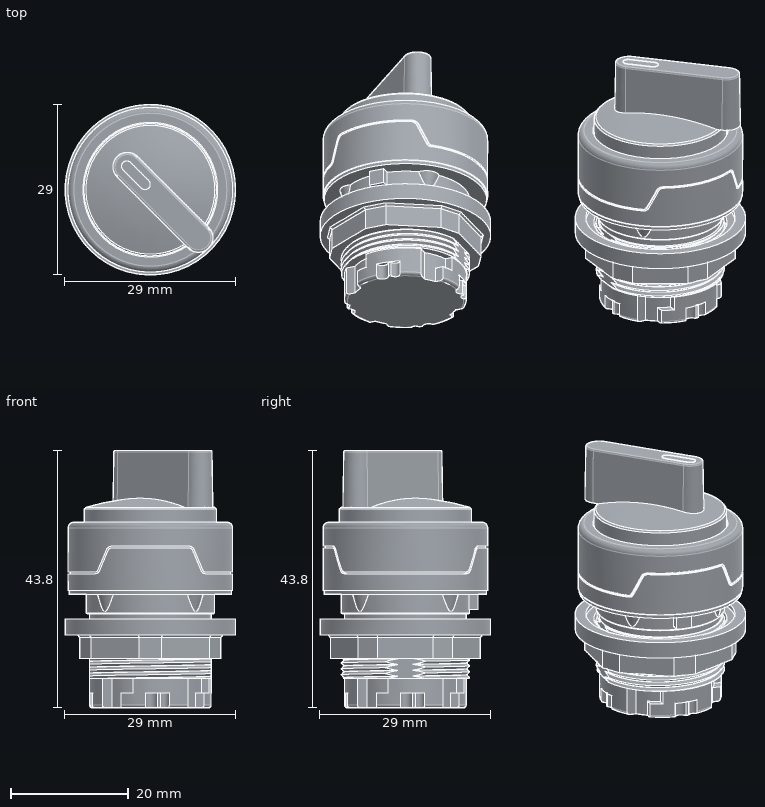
import cadquery as cq
import math

TOTAL_HEIGHT = 43.75
LUG_HEIGHT = 2.57
THREAD_BOTTOM = 5.04
NUT_BOTTOM = 8.4
RING_BOTTOM = 12.36
THREAD_TOP = 14.7
RING_TOP = 15.15
COLLAR_BOTTOM = 15.95
STEP_BOTTOM = 19.3
HOUSING_BOTTOM = 19.95
HOUSING_TOP = 31.58
CAP_TOP = 34.1
DOME_TOP = 35.72

BODY_DIAMETER = 20.75
BODY_RADIUS = BODY_DIAMETER / 2
BODY_FILLET = 0.5
QUARTERS = 4

SLOT_FLOOR_RADIUS = 9.15
SLOT_WALL_OFFSET = 6.4
ENTRY_END_X = -4.95
LOCK_END_X = -2.96

WIDE_GROOVE_X = 0.18
WIDE_GROOVE_RADIUS = 1.04
NARROW_GROOVE_X = 2.47
NARROW_GROOVE_RADIUS = 0.78
GROOVE_RIDGE_DEPTH = 0.3

THREAD_MAJOR_RADIUS = 21.85 / 2
THREAD_MINOR_RADIUS = 20.92 / 2
THREAD_PITCH = 1.0
THREAD_EMBED = 0.1
THREAD_ROOT_GAP = 0.02
THREAD_CREST_Z = 4.9

RING_DIAMETER = 29.0
HEX_FLATS = 24.0
HEX_CORNERS = 25.5
HEX_FLARE_HEIGHT = 0.4
HEX_FLARE = 0.35
NUT_RECESS_DIAMETER = 25.35
NUT_RECESS_DEPTH = 0.8
NUT_BORE_DIAMETER = 22.6
NUT_BORE_DEPTH = 2.2

COLLAR_DIAMETER = 21.85
COLLAR_CHAMFER = 0.2
RIB_TIP_Z = 16.4
RIB_TIP_RADIUS = 1.3
RIB_TOP_RADIUS = 2.19
KEY_WIDTH = 2.64
KEY_REACH = 12.36
KEY_BOTTOM = 16.7

STEP_DIAMETER = 27.65
HOUSING_DIAMETER = 28.0
HOUSING_FILLET = 1.0
SEAM_FLOOR_DIAMETER = 27.29
SEAM_WIDTH = 0.3
SEAM_HIGH_Z = 27.21
SEAM_LOW_Z = 22.8
SEAM_HIGH_HALF_WIDTH = 7.0
SEAM_LOW_HALF_WIDTH = 8.85
SEAM_CORNER_RADIUS = 0.8
CAP_GAP_DIAMETER = 22.9
CAP_GAP_DEPTH = 1.0

CAP_DIAMETER = 22.5
CAP_CHAMFER = 0.3
HANDLE_ANGLE = -45
HANDLE_TIP_START = -5.5
HANDLE_TIP_END = 11.55
HANDLE_TOP_RADIUS = 2.33
HANDLE_DRAFT = 0.9
HANDLE_FILLET = 0.25
MARK_START = -6.55
MARK_END = -0.4
MARK_WIDTH = 1.8
MARK_DEPTH = 0.1


def disk(diameter, bottom, top):
    """Cylinder on the switch axis between two heights."""
    return cq.Workplane("XY").workplane(offset=bottom).circle(diameter / 2).extrude(top - bottom)


def ring(outer_diameter, inner_diameter, bottom, top):
    """Tube on the switch axis between two heights."""
    return disk(outer_diameter, bottom, top).cut(disk(inner_diameter, bottom, top))


def box(x_range, y_range, z_range):
    """Box given by its limits on each axis."""
    size = [high - low for low, high in (x_range, y_range, z_range)]
    corner = (x_range[0], y_range[0], z_range[0])
    return cq.Workplane("XY").box(*size, centered=False).translate(corner)


def turned(shape, angle):
    """Copy of a shape rotated about the switch axis."""
    return shape.rotate((0, 0, 0), (0, 0, 1), angle)


def cut_in_quarters(base, cutter):
    """Cut four equally spaced copies of a cutter from a base shape."""
    for index in range(QUARTERS):
        base = base.cut(turned(cutter, index * 360 / QUARTERS))
    return base


def bayonet_slot():
    """L-shaped slot: an entry open at the bottom and a wider lock above it."""
    radial_span = (-RING_DIAMETER / 2, -SLOT_WALL_OFFSET)
    entry = box((-RING_DIAMETER / 2, ENTRY_END_X), radial_span, (0, THREAD_BOTTOM))
    lock = box((ENTRY_END_X, LOCK_END_X), radial_span, (LUG_HEIGHT, THREAD_BOTTOM))
    return entry.union(lock).cut(disk(2 * SLOT_FLOOR_RADIUS, 0, THREAD_BOTTOM))


def coding_groove():
    """Two round grooves side by side, with a lowered ridge between them."""
    cutter = box(
        (WIDE_GROOVE_X, NARROW_GROOVE_X),
        (-BODY_RADIUS, GROOVE_RIDGE_DEPTH - BODY_RADIUS),
        (0, LUG_HEIGHT),
    )
    for x, radius in (
        (WIDE_GROOVE_X, WIDE_GROOVE_RADIUS),
        (NARROW_GROOVE_X, NARROW_GROOVE_RADIUS),
    ):
        surface_y = -math.sqrt(BODY_RADIUS**2 - x**2)
        cutter = cutter.union(disk(2 * radius, 0, LUG_HEIGHT).translate((x, surface_y, 0)))
    return cutter


def make_foot():
    foot = disk(BODY_DIAMETER, 0, THREAD_BOTTOM).faces("<Z").edges().fillet(BODY_FILLET)
    foot = cut_in_quarters(foot, bayonet_slot())
    return cut_in_quarters(foot, coding_groove())


def thread_turn():
    """One turn of the right-hand V ridge, its two ends lying on the +X flat."""
    base_radius = THREAD_MINOR_RADIUS - THREAD_EMBED
    half_base = THREAD_PITCH / 2 - THREAD_ROOT_GAP
    helix = cq.Wire.makeHelix(THREAD_PITCH, THREAD_PITCH, THREAD_MINOR_RADIUS)
    return (
        cq.Workplane("XZ")
        .moveTo(base_radius, -half_base)
        .lineTo(THREAD_MINOR_RADIUS, -half_base)
        .lineTo(THREAD_MAJOR_RADIUS, 0)
        .lineTo(THREAD_MINOR_RADIUS, half_base)
        .lineTo(base_radius, half_base)
        .close()
        .sweep(cq.Workplane(obj=helix), isFrenet=True)
    )


def flatten(shape, bottom, top):
    """Trim a shape to two heights and to the flats on the X sides."""
    half_length = RING_DIAMETER / 2
    flats = box((-BODY_RADIUS, BODY_RADIUS), (-half_length, half_length), (bottom, top))
    return shape.intersect(flats)


def threaded_length(bottom, top):
    """Flattened thread between two heights."""
    thread = flatten(disk(2 * THREAD_MINOR_RADIUS, bottom, top), bottom, top)
    turn = flatten(thread_turn(), -THREAD_PITCH, 2 * THREAD_PITCH)
    half_base = THREAD_PITCH / 2 - THREAD_ROOT_GAP
    first = math.ceil((bottom - half_base - THREAD_CREST_Z) / THREAD_PITCH - 1)
    last = math.floor((top + half_base - THREAD_CREST_Z) / THREAD_PITCH)
    for index in range(first, last + 1):
        crest_z = THREAD_CREST_Z + index * THREAD_PITCH
        thread = thread.union(flatten(turn.translate((0, 0, crest_z)), bottom, top))
    return thread


def make_thread():
    """Thread exposed below the nut and in the nut bore; the nut is solid in between."""
    bore_floor = RING_TOP - NUT_BORE_DEPTH
    lower = threaded_length(THREAD_BOTTOM, NUT_BOTTOM)
    return lower.union(threaded_length(bore_floor, THREAD_TOP))


def hex_prism(flats, corners, bottom, height, taper=0):
    """Hexagon with flats on the X sides and its six corners cut flat."""
    points = []
    cut_half = (flats / math.cos(math.pi / 6) - corners) / 2 * math.tan(math.pi / 3)
    for index in range(6):
        corner_angle = math.pi / 2 + index * math.pi / 3
        for side in (-cut_half, cut_half):
            angle = corner_angle + math.atan2(side, corners / 2)
            radius = math.hypot(side, corners / 2)
            points.append((radius * math.cos(angle), radius * math.sin(angle)))
    plane = cq.Workplane("XY").workplane(offset=bottom)
    return plane.polyline(points).close().extrude(height, taper=taper)


def make_nut():
    flare_bottom = RING_BOTTOM - HEX_FLARE_HEIGHT
    flare_angle = math.degrees(math.atan2(HEX_FLARE, HEX_FLARE_HEIGHT))
    nut = hex_prism(HEX_FLATS, HEX_CORNERS, NUT_BOTTOM, flare_bottom - NUT_BOTTOM)
    flare = hex_prism(HEX_FLATS, HEX_CORNERS, flare_bottom, HEX_FLARE_HEIGHT, -flare_angle)
    nut = nut.union(flare).union(disk(RING_DIAMETER, RING_BOTTOM, RING_TOP))
    nut = nut.cut(disk(NUT_RECESS_DIAMETER, RING_TOP - NUT_RECESS_DEPTH, RING_TOP))
    return nut.cut(disk(NUT_BORE_DIAMETER, RING_TOP - NUT_BORE_DEPTH, RING_TOP))


def make_collar():
    """Collar with four conical ribs at the diagonals and a locating key at +Y."""
    collar = disk(COLLAR_DIAMETER, COLLAR_BOTTOM, STEP_BOTTOM)
    collar = collar.faces("<Z").edges().chamfer(COLLAR_CHAMFER)
    rib_axis_radius = COLLAR_DIAMETER / 2 - RIB_TIP_RADIUS
    rib = cq.Workplane(
        obj=cq.Solid.makeCone(
            RIB_TIP_RADIUS,
            RIB_TOP_RADIUS,
            STEP_BOTTOM - RIB_TIP_Z,
            pnt=cq.Vector(rib_axis_radius, 0, RIB_TIP_Z),
        )
    )
    for index in range(QUARTERS):
        collar = collar.union(turned(rib, 45 + index * 360 / QUARTERS))
    key = box((-KEY_WIDTH / 2, KEY_WIDTH / 2), (0, KEY_REACH), (KEY_BOTTOM, STEP_BOTTOM))
    return collar.union(key)


def seam_groove():
    """Wavy groove around the housing: raised on the Y sides, low on the X sides."""
    reach = RING_DIAMETER
    outline = [
        (-reach, HOUSING_BOTTOM),
        (-reach, SEAM_LOW_Z),
        (-SEAM_LOW_HALF_WIDTH, SEAM_LOW_Z),
        (-SEAM_HIGH_HALF_WIDTH, SEAM_HIGH_Z),
        (SEAM_HIGH_HALF_WIDTH, SEAM_HIGH_Z),
        (SEAM_LOW_HALF_WIDTH, SEAM_LOW_Z),
        (reach, SEAM_LOW_Z),
        (reach, HOUSING_BOTTOM),
    ]
    lower = cq.Workplane("XZ").polyline(outline).close().extrude(reach, both=True)
    corners = cq.selectors.BoxSelector(
        (-HOUSING_DIAMETER / 2, -reach, HOUSING_BOTTOM),
        (HOUSING_DIAMETER / 2, reach, HOUSING_TOP),
    )
    lower = lower.edges("|Y").edges(corners).fillet(SEAM_CORNER_RADIUS)
    widened = lower.faces("<Y").wires().toPending().offset2D(SEAM_WIDTH).extrude(-2 * reach)
    shell = ring(RING_DIAMETER, SEAM_FLOOR_DIAMETER, HOUSING_BOTTOM + SEAM_WIDTH, HOUSING_TOP)
    return shell.intersect(widened.cut(lower))


def make_housing():
    housing = disk(HOUSING_DIAMETER, HOUSING_BOTTOM, HOUSING_TOP)
    housing = housing.faces(">Z").edges().fillet(HOUSING_FILLET)
    housing = housing.cut(seam_groove())
    housing = housing.cut(
        ring(CAP_GAP_DIAMETER, CAP_DIAMETER, HOUSING_TOP - CAP_GAP_DEPTH, HOUSING_TOP)
    )
    return housing.union(disk(STEP_DIAMETER, STEP_BOTTOM, HOUSING_BOTTOM))


def make_cap():
    """Turning cap with a spherical dome."""
    edge_radius = CAP_DIAMETER / 2 - CAP_CHAMFER
    rise = DOME_TOP - CAP_TOP
    sphere_radius = (edge_radius**2 + rise**2) / (2 * rise)
    mid_radius = edge_radius / 2
    mid_z = DOME_TOP - sphere_radius + math.sqrt(sphere_radius**2 - mid_radius**2)
    return (
        cq.Workplane("XZ")
        .moveTo(0, HOUSING_TOP)
        .lineTo(CAP_DIAMETER / 2, HOUSING_TOP)
        .lineTo(CAP_DIAMETER / 2, CAP_TOP - CAP_CHAMFER)
        .lineTo(edge_radius, CAP_TOP)
        .threePointArc((mid_radius, mid_z), (0, DOME_TOP))
        .close()
        .revolve(360, (0, 0), (0, 1))
    )


def pill(start, end, width, top, depth, taper=0):
    """Round-ended bar along X from one extreme to the other, running down from its top."""
    plane = cq.Workplane("XY").workplane(offset=top).center((start + end) / 2, 0)
    return plane.slot2D(end - start, width).extrude(-depth, taper=taper)


def make_handle():
    """Drafted grip with an indicator mark let into its top, turned to its rest position."""
    handle = pill(
        HANDLE_TIP_START - HANDLE_TOP_RADIUS,
        HANDLE_TIP_END + HANDLE_TOP_RADIUS,
        2 * HANDLE_TOP_RADIUS,
        TOTAL_HEIGHT,
        TOTAL_HEIGHT - CAP_TOP,
        -HANDLE_DRAFT,
    )
    handle = handle.faces(">Z").edges().fillet(HANDLE_FILLET)
    handle = handle.cut(pill(MARK_START, MARK_END, MARK_WIDTH, TOTAL_HEIGHT, MARK_DEPTH))
    return turned(handle, HANDLE_ANGLE)


neck = disk(BODY_DIAMETER, THREAD_TOP, COLLAR_BOTTOM)
result = make_foot().union(make_thread()).union(neck).union(make_nut())
result = result.union(make_collar()).union(make_housing())
result = result.union(make_cap()).union(make_handle())